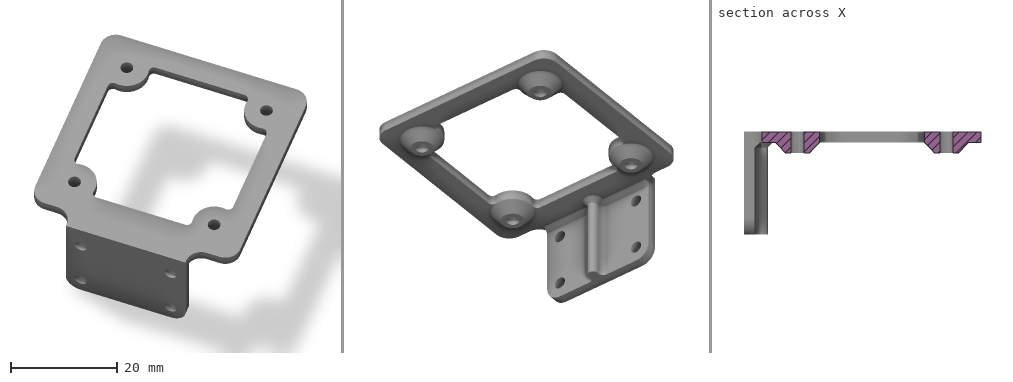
import cadquery as cq

plate_size = 41.1
overall_depth = 44.6
thickness = 2.0
corner_radius = 3.0

window_size = 31.8
hole_spacing = 28.0
hole_diameter = 2.4
lobe_radius = 4.2
window_fillet = 1.0

standoff_height = 2.0
standoff_tip_radius = 2.25

flange_width = 24.0
flange_height = 19.35
flange_hole_spacing = 18.0
flange_hole_depths = (5.17, 16.15)

rib_width = 2.0
rib_depth = 2.5
rib_root_fillet = 1.03
inner_chamfer = 1.0

plate_front = -plate_size / 2
flange_front = plate_size / 2 - overall_depth
flange_back = flange_front + thickness
rib_back = flange_back + rib_depth
plate_bottom = -thickness


def plate():
    square = (
        cq.Workplane("XY").rect(plate_size, plate_size).extrude(-thickness)
        .edges("|Z").fillet(corner_radius)
    )
    tongue_length = plate_front - flange_front
    tongue = (
        cq.Workplane("XY").center(0, flange_front + tongue_length)
        .rect(flange_width, 2 * tongue_length).extrude(-thickness)
    )
    body = square.union(tongue)
    reach = flange_width / 2 + 0.45
    blend_corners = cq.selectors.BoxSelector(
        (-reach, plate_front - 0.45, plate_bottom), (reach, plate_front + 0.45, 0)
    )
    return body.edges("|Z").edges(blend_corners).fillet(corner_radius)


def window():
    opening = cq.Workplane("XY").rect(window_size, window_size).extrude(-thickness)
    lobes = (
        cq.Workplane("XY").rect(hole_spacing, hole_spacing, forConstruction=True)
        .vertices().circle(lobe_radius).extrude(-thickness)
    )
    return opening.cut(lobes).edges("|Z").fillet(window_fillet)


def standoffs():
    cone = cq.Solid.makeCone(
        lobe_radius, standoff_tip_radius, standoff_height,
        cq.Vector(0, 0, plate_bottom), cq.Vector(0, 0, -1),
    )
    return (
        cq.Workplane("XY").rect(hole_spacing, hole_spacing, forConstruction=True)
        .vertices().eachpoint(lambda place: cone.moved(place))
    )


def plate_holes():
    return (
        cq.Workplane("XY").rect(hole_spacing, hole_spacing, forConstruction=True)
        .vertices().circle(hole_diameter / 2).extrude(-(thickness + standoff_height))
    )


def flange():
    return (
        cq.Workplane("XY")
        .box(flange_width, thickness, flange_height, centered=(True, False, False))
        .translate((0, flange_front, -flange_height))
        .edges("|Y and <Z").fillet(corner_radius)
    )


def flange_holes():
    points = [
        (side * flange_hole_spacing / 2, -depth)
        for side in (-1, 1)
        for depth in flange_hole_depths
    ]
    return (
        cq.Workplane("XZ", origin=(0, flange_front, 0))
        .pushPoints(points).circle(hole_diameter / 2).extrude(-thickness)
    )


def rib():
    half_width = rib_width / 2
    half_root = half_width + rib_root_fillet
    root_end = flange_back + rib_root_fillet
    tip_start = rib_back - half_width
    return (
        cq.Workplane("XY").workplane(offset=-flange_height)
        .moveTo(-half_root, flange_back)
        .radiusArc((-half_width, root_end), -rib_root_fillet)
        .lineTo(-half_width, tip_start)
        .threePointArc((0, rib_back), (half_width, tip_start))
        .lineTo(half_width, root_end)
        .radiusArc((half_root, flange_back), -rib_root_fillet)
        .close()
        .extrude(flange_height - thickness)
    )


def bracket():
    body = plate().union(flange()).union(rib())
    margin = 0.05
    reach = flange_width / 2
    inner_corner = cq.selectors.BoxSelector(
        (-reach, flange_back - margin, plate_bottom - margin),
        (reach, rib_back + margin, plate_bottom + margin),
    )
    body = body.edges(inner_corner).chamfer(inner_chamfer)
    body = body.cut(window()).union(standoffs())
    return body.cut(plate_holes()).cut(flange_holes())


result = bracket()